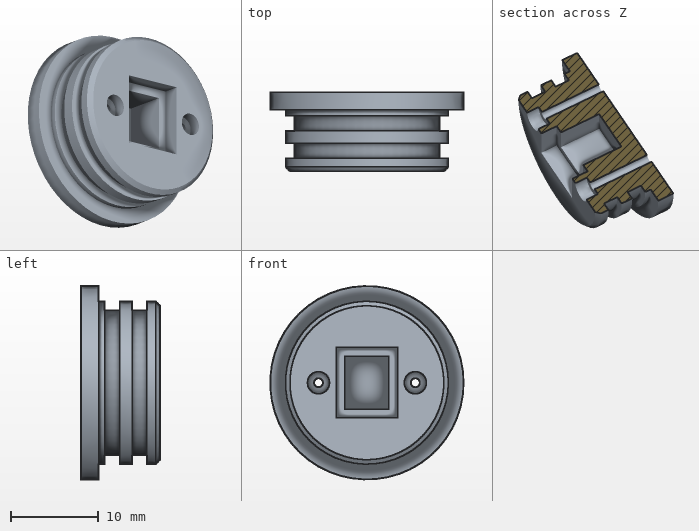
import cadquery as cq

flange_diameter = 22.0
body_diameter = 18.5
groove_diameter = 16.5
flange_thickness = 2.0
rear_land = 0.7
groove_width = 1.7
middle_land = 1.4
front_land = 1.5
end_chamfer = 0.5

pocket_width = 7.0
pocket_height = 8.0
pocket_depth = 2.0
pocket_ledge = 1.0
inner_pocket_depth = 5.0

hole_offset = 5.5
hole_diameter = 1.0
counterbore_diameter = 2.5
counterbore_depth = 1.5

front_groove_start = front_land
middle_land_start = front_groove_start + groove_width
rear_groove_start = middle_land_start + middle_land
flange_start = rear_groove_start + groove_width + rear_land
total_length = flange_start + flange_thickness


def cylinder(diameter, start, length, x=0):
    """Cylinder along +Y beginning at the given distance from the plug end."""
    base = cq.Workplane("XZ", origin=(x, start, 0))
    return base.circle(diameter / 2).extrude(-length)


def rectangular_cut(width, height, start, depth):
    """Centred rectangular block along +Y."""
    base = cq.Workplane("XZ", origin=(0, start, 0))
    return base.rect(width, height).extrude(-depth)


result = cylinder(body_diameter, 0, total_length).faces("<Y").chamfer(end_chamfer)
result = result.union(cylinder(flange_diameter, flange_start, flange_thickness))

for groove_start in (front_groove_start, rear_groove_start):
    ring = cylinder(flange_diameter, groove_start, groove_width)
    ring = ring.cut(cylinder(groove_diameter, groove_start, groove_width))
    result = result.cut(ring)

inner_width = pocket_width - 2 * pocket_ledge
inner_height = pocket_height - 2 * pocket_ledge
result = result.cut(rectangular_cut(pocket_width, pocket_height, 0, pocket_depth))
result = result.cut(rectangular_cut(inner_width, inner_height, pocket_depth, inner_pocket_depth))

for hole_x in (-hole_offset, hole_offset):
    result = result.cut(cylinder(hole_diameter, 0, total_length, hole_x))
    result = result.cut(cylinder(counterbore_diameter, 0, counterbore_depth, hole_x))